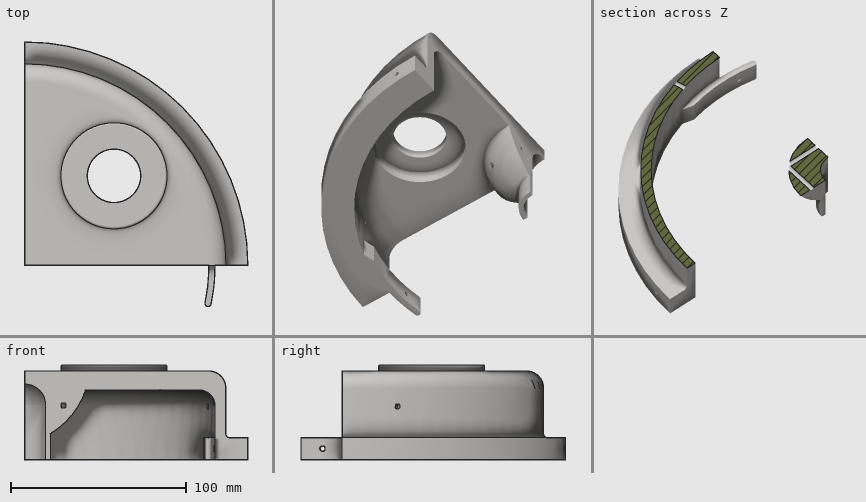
import cadquery as cq
import math

flange_radius = 127.0
flange_height = 12.6
wall_outer_radius = 114.5
wall_inner_radius = 108.3
plate_top = 50.5
ceiling_height = 39.7
outer_rounding = 10.0
inner_rounding = 9.2
flange_fillet = 2.1

column_radius = 14.7
column_edge_height = 14.9
bulb_top_radius = 34.8
bulb_bulge = 2.9
bore_radius = 12.0
bore_straight_height = 31.0

boss_centre = 50.9
boss_diameter = 60.3
boss_top = 54.0
boss_rounding = 1.2
opening_diameter = 30.2
recess_diameter = 52.0
lip_thickness = 5.7

pin_hole_diameter = 3.0
column_hole_offset = 22.1
column_hole_height = 30.8
wall_hole_diameter = 2.9
upper_hole_angle = math.radians(16)
upper_hole_height = 30.4
tab_hole_offset = 11.3
tab_hole_height = flange_height / 2

tab_thickness = 3.6
overall_length = 150.5
tab_reach = overall_length - flange_radius
tab_root_inner = 24.4
tab_root_outer = 31.6


def on_circle(radius, y):
    """Point with the given y on the +X side of a circle about the origin."""
    return math.sqrt(radius**2 - y**2), y


def quarter_shell():
    """Revolve the radial section: column, bulb, plate, wall and flange."""
    diagonal = math.sqrt(0.5)
    bulb_run = bulb_top_radius - column_radius
    bulb_rise = ceiling_height - column_edge_height
    bulb_chord = math.hypot(bulb_run, bulb_rise)
    bulb_middle = (
        column_radius + bulb_run / 2 + bulb_bulge * bulb_rise / bulb_chord,
        column_edge_height + bulb_rise / 2 - bulb_bulge * bulb_run / bulb_chord,
    )
    inner_x = wall_inner_radius - inner_rounding
    inner_z = ceiling_height - inner_rounding
    outer_x = wall_outer_radius - outer_rounding
    outer_z = plate_top - outer_rounding
    fillet_x = wall_outer_radius + flange_fillet
    fillet_z = flange_height + flange_fillet
    section = (
        cq.Workplane("XZ")
        .moveTo(0, 0)
        .lineTo(column_radius, 0)
        .lineTo(column_radius, column_edge_height)
        .threePointArc(bulb_middle, (bulb_top_radius, ceiling_height))
        .lineTo(inner_x, ceiling_height)
        .threePointArc(
            (inner_x + inner_rounding * diagonal, inner_z + inner_rounding * diagonal),
            (wall_inner_radius, inner_z),
        )
        .lineTo(wall_inner_radius, 0)
        .lineTo(flange_radius, 0)
        .lineTo(flange_radius, flange_height)
        .lineTo(fillet_x, flange_height)
        .threePointArc(
            (fillet_x - flange_fillet * diagonal, fillet_z - flange_fillet * diagonal),
            (wall_outer_radius, fillet_z),
        )
        .lineTo(wall_outer_radius, outer_z)
        .threePointArc(
            (outer_x + outer_rounding * diagonal, outer_z + outer_rounding * diagonal),
            (outer_x, plate_top),
        )
        .lineTo(0, plate_top)
        .close()
    )
    return section.revolve(90, (0, 0, 0), (0, 1, 0))


def ring_boss():
    """Raised disc with a rounded top edge, reaching down into the plate."""
    return (
        cq.Workplane("XY", origin=(boss_centre, boss_centre, ceiling_height))
        .circle(boss_diameter / 2)
        .extrude(boss_top - ceiling_height)
        .faces(">Z")
        .edges()
        .fillet(boss_rounding)
    )


def stepped_opening():
    """Opening through the boss, widened by a recess from below that leaves a lip at the top."""
    base = cq.Workplane("XY", origin=(boss_centre, boss_centre, ceiling_height))
    opening = base.circle(opening_diameter / 2).extrude(boss_top - ceiling_height)
    recess = base.circle(recess_diameter / 2).extrude(boss_top - lip_thickness - ceiling_height)
    return opening.union(recess)


def central_bore():
    """Round bore ending in a hemisphere."""
    dome = cq.Workplane("XY", origin=(0, 0, bore_straight_height)).sphere(bore_radius)
    return cq.Workplane("XY").circle(bore_radius).extrude(bore_straight_height).union(dome)


def joining_tab():
    """Arc strip: bevelled root against the wall at +Y, rounded free end at -Y."""
    outer = wall_inner_radius
    inner = outer - tab_thickness
    tip_radius = tab_thickness / 2
    middle = outer - tip_radius
    tip_angle = -math.asin((tab_reach - tip_radius) / middle)

    def at_tip_angle(radius):
        return radius * math.cos(tip_angle), radius * math.sin(tip_angle)

    tip_x, tip_y = at_tip_angle(middle)
    tip_end = (tip_x + tip_radius * math.sin(tip_angle), tip_y - tip_radius * math.cos(tip_angle))
    embedded = (wall_inner_radius + wall_outer_radius) / 2
    return (
        cq.Workplane("XY")
        .moveTo(outer, 0)
        .threePointArc(on_circle(outer, -tab_reach / 2), at_tip_angle(outer))
        .threePointArc(tip_end, at_tip_angle(inner))
        .threePointArc((inner, 0), on_circle(inner, tab_root_inner))
        .lineTo(*on_circle(outer, tab_root_outer))
        .lineTo(*on_circle(embedded, tab_root_outer))
        .threePointArc(on_circle(embedded, tab_root_outer / 2), (embedded, 0))
        .close()
        .extrude(flange_height)
    )


def radial_hole(diameter, angle, height):
    """Hole along a radius, starting in the cavity and running out past the flange."""
    start = wall_inner_radius / 2
    direction = cq.Vector(math.cos(angle), math.sin(angle), 0)
    base = direction * start + cq.Vector(0, 0, height)
    return cq.Workplane(cq.Solid.makeCylinder(diameter / 2, flange_radius, base, direction))


def column_holes():
    """One hole square to each cut face, running through the bulb."""
    radius = pin_hole_diameter / 2
    along_y = cq.Solid.makeCylinder(
        radius, bulb_top_radius, cq.Vector(column_hole_offset, 0, column_hole_height), cq.Vector(0, 1, 0)
    )
    along_x = cq.Solid.makeCylinder(
        radius, bulb_top_radius, cq.Vector(0, column_hole_offset, column_hole_height), cq.Vector(1, 0, 0)
    )
    return cq.Workplane(along_y).union(cq.Workplane(along_x))


tab_hole_angle = math.asin(tab_hole_offset / wall_inner_radius)

result = (
    quarter_shell()
    .union(ring_boss())
    .union(joining_tab())
    .cut(stepped_opening())
    .cut(central_bore())
    .cut(column_holes())
    .cut(radial_hole(pin_hole_diameter, -tab_hole_angle, tab_hole_height))
    .cut(radial_hole(wall_hole_diameter, math.pi / 2 - tab_hole_angle, tab_hole_height))
    .cut(radial_hole(wall_hole_diameter, upper_hole_angle, upper_hole_height))
)